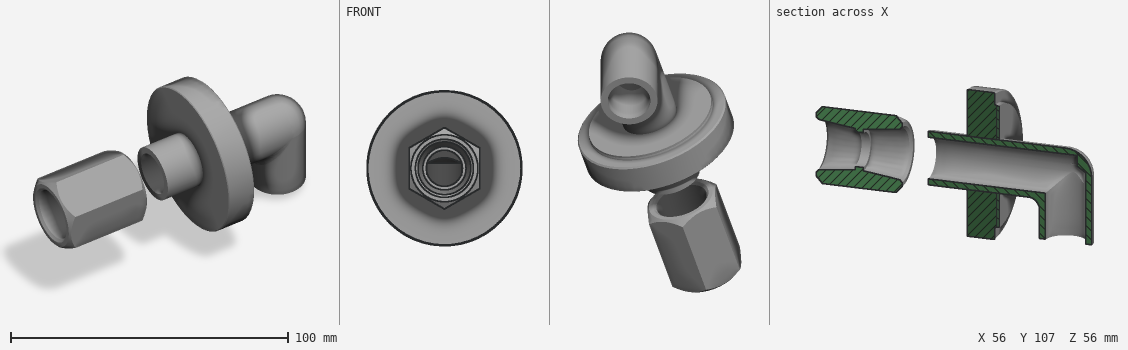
import cadquery as cq
import math

TOTAL_LENGTH = 107.0

NUT_LENGTH = 33.4
NUT_ACROSS_FLATS = 25.5
NUT_FACE_RADIUS = 12.1
NUT_CHAMFER_LENGTH = 2.4
NUT_BORE_RADIUS = 9.5
NUT_BORE_DEPTH = 15.0
NUT_BORE_CHAMFER = 1.0
NUT_SHOULDER_RADIUS = 7.8
NUT_HOLE_RADIUS = 6.5

TUBE_RADIUS = 10.3
TUBE_BORE_RADIUS = 7.8
LEG_BORE_RADIUS = 7.7
TUBE_START = 43.4
LEG_END = -25.5
INNER_CORNER_FILLET = 3.9
BEND_Y = TOTAL_LENGTH - TUBE_RADIUS
BORE_END_Y = BEND_Y + 4.4
LEG_BORE_TOP = 1.8

DRILL_POINT_ANGLE = 118.0
DRILL_SLOPE = 1 / math.tan(math.radians(DRILL_POINT_ANGLE / 2))

DISC_RADIUS = 27.98
DISC_FRONT = 58.4
DISC_BACK = 69.4
DISC_FRONT_CHAMFER = 0.3
DISC_BACK_CHAMFER = 0.5
SEAL_RADIUS = 23.1
SEAL_BACK = 71.0
SEAL_THICKNESS = 0.9
SEAL_FRONT = SEAL_BACK - SEAL_THICKNESS
SEAT_FLARE = 0.3


def cylinder(radius, start_y, end_y):
    """Cylinder on the common axis between two Y positions."""
    return cq.Workplane("XZ", origin=(0, start_y, 0)).circle(radius).extrude(start_y - end_y)


def revolve_profile(points):
    """Solid of revolution about Y from (radius, y) points."""
    return cq.Workplane("XY").polyline(points).close().revolve(360, (0, 0, 0), (0, 1, 0))


def make_nut():
    corner_radius = NUT_ACROSS_FLATS / math.sqrt(3)
    hexagon = (
        cq.Workplane("XZ")
        .polygon(6, 2 * corner_radius)
        .extrude(-NUT_LENGTH)
        .rotate((0, 0, 0), (0, 1, 0), 30)
    )
    corner_cutter = revolve_profile([
        (0, 0),
        (NUT_FACE_RADIUS, 0),
        (corner_radius, NUT_CHAMFER_LENGTH),
        (corner_radius, NUT_LENGTH - NUT_CHAMFER_LENGTH),
        (NUT_FACE_RADIUS, NUT_LENGTH),
        (0, NUT_LENGTH),
    ])
    end_bore = revolve_profile([
        (0, 0),
        (NUT_BORE_RADIUS + NUT_BORE_CHAMFER, 0),
        (NUT_BORE_RADIUS, NUT_BORE_CHAMFER),
        (NUT_SHOULDER_RADIUS, NUT_BORE_DEPTH),
        (0, NUT_BORE_DEPTH),
    ])
    opposite_bore = end_bore.mirror("XZ").translate((0, NUT_LENGTH, 0))
    through_hole = cylinder(NUT_HOLE_RADIUS, 0, NUT_LENGTH)
    return hexagon.intersect(corner_cutter).cut(end_bore).cut(opposite_bore).cut(through_hole)


def make_leg_bore():
    """Bore of the downward leg, closed at the top by a drill-point cone."""
    tip_z = LEG_BORE_TOP + LEG_BORE_RADIUS * DRILL_SLOPE
    return (
        cq.Workplane("XZ")
        .polyline([
            (0, LEG_END),
            (LEG_BORE_RADIUS, LEG_END),
            (LEG_BORE_RADIUS, LEG_BORE_TOP),
            (0, tip_z),
        ])
        .close()
        .revolve(360, (0, 0, 0), (0, 1, 0))
        .translate((0, BEND_Y, 0))
    )


def make_elbow():
    run = cylinder(TUBE_RADIUS, TUBE_START, BEND_Y)
    leg = cq.Workplane("XY", origin=(0, BEND_Y, LEG_END)).circle(TUBE_RADIUS).extrude(-LEG_END)
    outer_corner = cq.Workplane("XY", origin=(0, BEND_Y, 0)).sphere(TUBE_RADIUS)
    body = run.union(leg).union(outer_corner)
    inner_corner = cq.selectors.NearestToPointSelector((0, BEND_Y - TUBE_RADIUS, -TUBE_RADIUS))
    body = body.edges(inner_corner).fillet(INNER_CORNER_FILLET)
    run_bore = cylinder(TUBE_BORE_RADIUS, TUBE_START, BORE_END_Y)
    return body.cut(run_bore.union(make_leg_bore()))


def make_disc():
    return revolve_profile([
        (TUBE_RADIUS, DISC_FRONT),
        (DISC_RADIUS - DISC_FRONT_CHAMFER, DISC_FRONT),
        (DISC_RADIUS, DISC_FRONT + DISC_FRONT_CHAMFER),
        (DISC_RADIUS, DISC_BACK - DISC_BACK_CHAMFER),
        (DISC_RADIUS - DISC_BACK_CHAMFER, DISC_BACK),
        (SEAL_RADIUS + SEAT_FLARE, DISC_BACK),
        (SEAL_RADIUS, SEAL_FRONT),
        (TUBE_RADIUS, SEAL_FRONT),
    ])


def make_seal():
    return cylinder(SEAL_RADIUS, SEAL_FRONT, SEAL_BACK).cut(cylinder(TUBE_RADIUS, SEAL_FRONT, SEAL_BACK))


nut = make_nut()
elbow = make_elbow()
disc = make_disc()
seal = make_seal()

result = cq.Compound.makeCompound([nut.val(), elbow.val(), disc.val(), seal.val()])